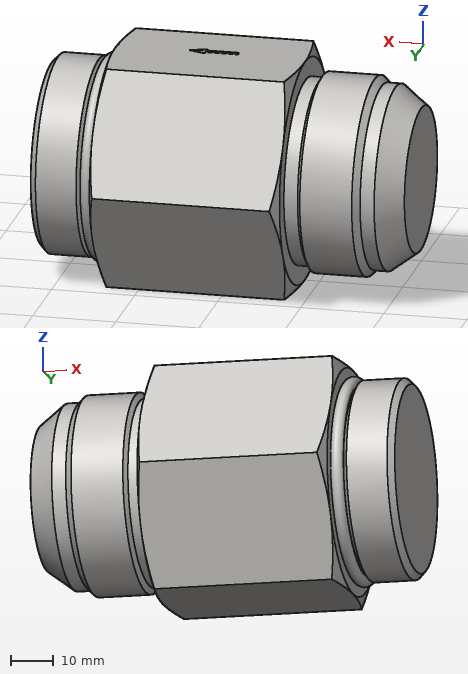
import cadquery as cq
import math

length = 88.9

nose_cone_angle = 37.0
nose_cone_length = 6.2
nose_diameter = 44.4
nose_length = 9.6
collar_diameter = 47.65
relief_diameter = 44.6
collar_end = 23.7
flank_angle = 60.0

hex_start = 27.9
hex_end = 73.7
across_flats = 54.0
hex_chamfer_angle = 20.0

ring_section = 3.0
ring_outer_diameter = 49.6
port_groove_end = 77.6
port_chamfer = 1.5

arrow_start = 44.5
arrow_length = 11.7
arrow_head_length = 3.9
arrow_head_width = 2.9
arrow_shaft_width = 1.2
arrow_y = -2.7
arrow_depth = 0.2

nose_radius = nose_diameter / 2
nose_tip_radius = nose_radius - nose_cone_length * math.tan(math.radians(nose_cone_angle))
collar_radius = collar_diameter / 2
collar_lead_in = collar_radius - nose_radius
relief_radius = relief_diameter / 2
flank_slope = math.tan(math.radians(flank_angle))
relief_start = collar_end + (collar_radius - relief_radius) / flank_slope
across_corners = across_flats / math.cos(math.radians(30))
flat_radius = across_flats / 2
corner_radius = across_corners / 2
hex_chamfer_length = (corner_radius - flat_radius) * math.tan(math.radians(hex_chamfer_angle))
ring_radius = ring_section / 2
ring_center_radius = ring_outer_diameter / 2 - ring_radius
ring_center_x = hex_end + ring_radius
groove_radius = ring_center_radius - ring_radius
groove_floor_end = port_groove_end - (collar_radius - groove_radius) / flank_slope


def revolve_about_x(points):
    """Turn a closed (x, radius) outline about the X axis."""
    return cq.Workplane("XY").polyline(points).close().revolve(360, (0, 0, 0), (1, 0, 0))


def make_spindle():
    """Turned shape that runs the full length, through the hexagon."""
    return revolve_about_x([
        (0, 0),
        (0, nose_tip_radius),
        (nose_cone_length, nose_radius),
        (nose_length, nose_radius),
        (nose_length + collar_lead_in, collar_radius),
        (collar_end, collar_radius),
        (relief_start, relief_radius),
        (hex_start, relief_radius),
        (hex_start, groove_radius),
        (groove_floor_end, groove_radius),
        (port_groove_end, collar_radius),
        (length - port_chamfer, collar_radius),
        (length, collar_radius - port_chamfer),
        (length, 0),
    ])


def make_hexagon():
    """Hexagon with flats facing up and down and conical corner chamfers at both ends."""
    prism = (
        cq.Workplane("YZ", origin=(hex_start, 0, 0))
        .polygon(6, across_corners)
        .extrude(hex_end - hex_start)
    )
    chamfer_envelope = revolve_about_x([
        (hex_start, 0),
        (hex_start, flat_radius),
        (hex_start + hex_chamfer_length, corner_radius),
        (hex_end - hex_chamfer_length, corner_radius),
        (hex_end, flat_radius),
        (hex_end, 0),
    ])
    return prism.intersect(chamfer_envelope)


def make_flow_arrow():
    """Shallow arrow cutter pointing from the nose to the port end."""
    half_shaft = arrow_shaft_width / 2
    half_head = arrow_head_width / 2
    head_base = arrow_length - arrow_head_length
    return (
        cq.Workplane("XY", origin=(arrow_start, arrow_y, flat_radius))
        .moveTo(0, -half_shaft)
        .lineTo(head_base, -half_shaft)
        .lineTo(head_base, -half_head)
        .lineTo(arrow_length, 0)
        .lineTo(head_base, half_head)
        .lineTo(head_base, half_shaft)
        .lineTo(0, half_shaft)
        .close()
        .extrude(-arrow_depth)
    )


def make_fitting():
    """Fitting body: spindle and hexagon in one piece, with the engraved arrow."""
    return make_spindle().union(make_hexagon()).cut(make_flow_arrow())


def make_seal_ring():
    """O-ring seated on the groove floor against the hexagon."""
    return (
        cq.Workplane("XY")
        .center(ring_center_x, ring_center_radius)
        .circle(ring_radius)
        .revolve(360, (0, -ring_center_radius, 0), (1, -ring_center_radius, 0))
    )


fitting = make_fitting()
seal_ring = make_seal_ring()

result = cq.Compound.makeCompound([fitting.solids().val(), seal_ring.solids().val()])